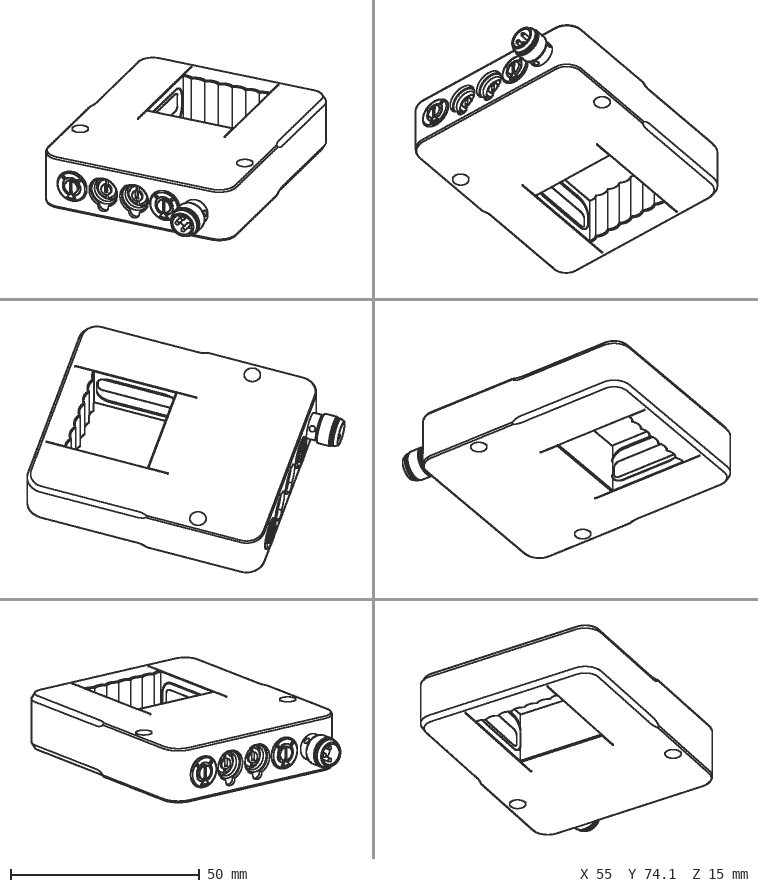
import cadquery as cq
import math

WIDTH = 55.0
LENGTH = 65.6
HEIGHT = 15.0
CORNER_RADIUS = 5.0
FRONT_CHAMFER_SIDE = 0.3
FRONT_CHAMFER_HEIGHT = 0.55
REAR_CHAMFER_SIDE = 0.9
REAR_CHAMFER_HEIGHT = 1.5
REAR_CHAMFER_START = LENGTH - 31.7
RUNOUT_RADIUS = 7.6

WINDOW_WIDTH = 25.1
WINDOW_FRONT = 35.6
WINDOW_BACK = 58.25
WINDOW_EDGE_CHAMFER = 0.3
SCALLOP_PITCH = 3.96
SCALLOP_DEPTH = 0.7
SCALLOP_RADIUS = ((SCALLOP_PITCH / 2) ** 2 + SCALLOP_DEPTH**2) / (2 * SCALLOP_DEPTH)
SCALLOPS_EACH_SIDE = 3
SELECTION_MARGIN = 0.05

PLATE_THICKNESS = 0.2
PLATE_BEVEL = 0.15
PLATE_FRONT = 29.9
PLATE_BACK = 63.6

RECESS_CENTER_Y = 46.4
RECESS_LENGTH = 22.4
RECESS_HEIGHT = 10.7
RECESS_CORNER_RADIUS = 3.9
RECESS_FLOOR_HEIGHT = 5.1
RECESS_FLOOR_RADIUS = 1.5
RECESS_TAPER_DEPTH = 1.3
RECESS_SLOT_DEPTH = 0.1

MOUNT_HOLE_DIAMETER = 4.3
MOUNT_HOLE_SPACING = 48.0
MOUNT_HOLE_Y = 18.0

STATION_PITCH = 9.0
SELECTOR_STATIONS = (-2, 1)
TRIMMER_STATIONS = (-1, 0)
CONNECTOR_STATION = 2

SELECTOR_RADIUS = 4.3
SELECTOR_FACE_RADIUS = 3.95
SELECTOR_THICKNESS = 0.5
SELECTOR_GROOVE_RADIUS = 2.6
SELECTOR_GROOVE_DEPTH = 0.4
SELECTOR_KNOB_RADIUS = 1.9
SELECTOR_KNOB_HEIGHT = 0.8
SELECTOR_SLOT_WIDTH = 0.6
SELECTOR_SLOT_LENGTH = 3.0
SELECTOR_SLOT_DEPTH = 0.6
POINTER_WIDTH = 2.6
POINTER_TIP = 1.7
POINTER_BASE = 3.3
INDEX_WIDTH = 0.6
INDEX_DEPTH = 0.2
INDEX_START = 2.3
INDEX_END = 3.7
INDEX_ANGLES = (45, 135)

TRIMMER_MOUTH_RADIUS = 4.1
TRIMMER_MOUTH_DEPTH = 1.0
TRIMMER_THROAT_RADIUS = 3.75
TRIMMER_THROAT_DEPTH = 1.6
TRIMMER_BORE_RADIUS = 3.25
TRIMMER_BORE_DEPTH = 3.0
TRIMMER_RING_RADIUS = 2.6
TRIMMER_RING_HEIGHT = 0.6
TRIMMER_KNOB_RADIUS = 1.45
TRIMMER_KNOB_HEIGHT = 1.2
TRIMMER_SLOT_WIDTH = 0.8
TRIMMER_SLOT_END = -0.7
TRIMMER_NOTCH_RADIUS = 1.5
TRIMMER_NOTCH_Z = -4.05

NECK_RADIUS = 3.55
NECK_END = 2.5
GROOVE_RADIUS = 3.3
COLLAR_RADIUS = 4.05
COLLAR_START = 2.85
COLLAR_END = 6.6
COLLAR_CHAMFER = 0.25
LIP_RADIUS = 3.8
LIP_START = 7.1
LIP_END = 7.5
TIP_RADIUS = 3.3
CONNECTOR_LENGTH = 8.5
SOCKET_RADIUS = 2.8
SOCKET_DEPTH = 4.0
PIN_RADIUS = 0.5
PIN_LENGTH = 3.6
PIN_CIRCLE_RADIUS = 1.7
PIN_ANGLES = (90, 180, 270)
DIMPLE_DIAMETER = 1.6
DIMPLE_DEPTH = 0.15
DIMPLE_Y = 1.3
DIMPLE_ANGLES = (15, 135, 255)


def front_plane(x, y):
    """Plane facing out of the front face (-Y), with its own Y axis along +Z."""
    return cq.Workplane(cq.Plane(origin=(x, y, 0), xDir=(1, 0, 0), normal=(0, -1, 0)))


def chamfered_block(side, height):
    """Rounded block whose top and bottom rims are chamfered."""
    block = cq.Workplane("XY").box(WIDTH, LENGTH, HEIGHT).translate((0, LENGTH / 2, 0))
    block = block.edges("|Z").fillet(CORNER_RADIUS)
    return block.faces("<Z or >Z").edges().chamfer(height, side)


def runout_cutter(x_sign, z_sign):
    """Cylinder tangent to a rear chamfer, which fades that chamfer out toward the front."""
    chamfer_slant = math.hypot(REAR_CHAMFER_SIDE, REAR_CHAMFER_HEIGHT)
    outward_x = x_sign * REAR_CHAMFER_HEIGHT / chamfer_slant
    outward_z = z_sign * REAR_CHAMFER_SIDE / chamfer_slant
    axis_x = x_sign * (WIDTH - REAR_CHAMFER_SIDE) / 2 + RUNOUT_RADIUS * outward_x
    axis_z = z_sign * (HEIGHT - REAR_CHAMFER_HEIGHT) / 2 + RUNOUT_RADIUS * outward_z
    plane = cq.Plane(
        origin=(axis_x, REAR_CHAMFER_START, axis_z), xDir=(0, 1, 0), normal=(-outward_z, 0, outward_x)
    )
    return cq.Workplane(plane).circle(RUNOUT_RADIUS).extrude(HEIGHT / 2, both=True)


def housing_shell():
    """Block with a wide rim chamfer at the rear that fades into a fine one at the front."""
    front_half = cq.Workplane("XY").box(2 * WIDTH, REAR_CHAMFER_START, 2 * HEIGHT)
    front_half = front_half.translate((0, REAR_CHAMFER_START / 2, 0))
    front = chamfered_block(FRONT_CHAMFER_SIDE, FRONT_CHAMFER_HEIGHT).intersect(front_half)
    for x_sign in (-1, 1):
        for z_sign in (-1, 1):
            front = front.cut(runout_cutter(x_sign, z_sign))
    rear = chamfered_block(REAR_CHAMFER_SIDE, REAR_CHAMFER_HEIGHT).cut(front_half)
    return front.union(rear)


def window_outline():
    """Closed window outline: straight front and sides, and a scalloped back edge."""
    half_width = WINDOW_WIDTH / 2
    last_center = SCALLOPS_EACH_SIDE * SCALLOP_PITCH
    end_drop = SCALLOP_RADIUS - math.sqrt(SCALLOP_RADIUS**2 - (half_width - last_center) ** 2)
    end_y = WINDOW_BACK - end_drop
    cusp_y = WINDOW_BACK - SCALLOP_DEPTH
    outline = cq.Workplane("XY").moveTo(-half_width, WINDOW_FRONT).lineTo(-half_width, end_y)
    for index in range(-SCALLOPS_EACH_SIDE, SCALLOPS_EACH_SIDE):
        center_x = index * SCALLOP_PITCH
        cusp_x = center_x + SCALLOP_PITCH / 2
        outline = outline.threePointArc((center_x, WINDOW_BACK), (cusp_x, cusp_y))
    outline = outline.threePointArc((last_center, WINDOW_BACK), (half_width, end_y))
    return outline.lineTo(half_width, WINDOW_FRONT).close()


def cut_window(body):
    """Cut the window through and chamfer the rims of its front and back walls."""
    body = body.cut(window_outline().extrude(HEIGHT / 2, both=True))
    half_width = WINDOW_WIDTH / 2 - SELECTION_MARGIN
    rims = cq.selectors.BoxSelector(
        (-half_width, WINDOW_FRONT - SELECTION_MARGIN, -HEIGHT),
        (half_width, WINDOW_BACK + SELECTION_MARGIN, HEIGHT),
    )
    return body.faces("<Z or >Z").edges(rims).chamfer(WINDOW_EDGE_CHAMFER)


def plate_blank(side):
    """Thin full-height plate whose inner face lies on the window side."""
    blank = cq.Workplane("XY").box(PLATE_THICKNESS, PLATE_BACK - PLATE_FRONT, HEIGHT)
    return blank.translate(
        (side * (WINDOW_WIDTH + PLATE_THICKNESS) / 2, (PLATE_FRONT + PLATE_BACK) / 2, 0)
    )


def side_plane(side):
    """Plane on a window side, facing outward into the housing wall."""
    origin = (side * WINDOW_WIDTH / 2, RECESS_CENTER_Y, 0)
    return cq.Workplane(cq.Plane(origin=origin, xDir=(0, 1, 0), normal=(side, 0, 0)))


def recess_cutter(side):
    """Slot whose upper and lower flanks taper inward, ending in a straight-walled floor."""
    mouth = cq.Sketch().rect(RECESS_LENGTH, RECESS_HEIGHT).vertices().fillet(RECESS_CORNER_RADIUS)
    floor = cq.Sketch().rect(RECESS_LENGTH, RECESS_FLOOR_HEIGHT).vertices().fillet(RECESS_FLOOR_RADIUS)
    taper_end = cq.Location(cq.Vector(0, 0, RECESS_TAPER_DEPTH))
    funnel = side_plane(side).placeSketch(mouth, floor.moved(taper_end)).loft()
    slot = side_plane(side).placeSketch(floor).extrude(RECESS_TAPER_DEPTH + RECESS_SLOT_DEPTH)
    return funnel.union(slot)


def mount_hole_cutter():
    holes = cq.Workplane("XY").pushPoints([(s * MOUNT_HOLE_SPACING / 2, MOUNT_HOLE_Y) for s in (-1, 1)])
    return holes.circle(MOUNT_HOLE_DIAMETER / 2).extrude(HEIGHT / 2, both=True)


def selector(x):
    """Bevelled disc with two index grooves, a ring groove around a slotted knob and a raised pointer."""
    bevel = SELECTOR_RADIUS - SELECTOR_FACE_RADIUS
    disc = front_plane(x, 0).circle(SELECTOR_RADIUS).extrude(SELECTOR_THICKNESS)
    disc = disc.faces("<Y").edges().chamfer(bevel)
    groove = front_plane(x, -SELECTOR_THICKNESS).circle(SELECTOR_GROOVE_RADIUS)
    disc = disc.cut(groove.extrude(-SELECTOR_GROOVE_DEPTH))
    index_length = INDEX_END - INDEX_START
    index_middle = (INDEX_START + INDEX_END) / 2
    for angle in INDEX_ANGLES:
        spoke = front_plane(x, -SELECTOR_THICKNESS).transformed(rotate=(0, 0, angle))
        spoke = spoke.center(index_middle, 0).rect(index_length, INDEX_WIDTH)
        disc = disc.cut(spoke.extrude(-INDEX_DEPTH))
    disc = disc.union(front_plane(x, 0).circle(SELECTOR_KNOB_RADIUS).extrude(SELECTOR_KNOB_HEIGHT))
    pointer = (
        front_plane(x, 0)
        .moveTo(0, -POINTER_TIP)
        .lineTo(POINTER_WIDTH / 2, -POINTER_BASE)
        .lineTo(-POINTER_WIDTH / 2, -POINTER_BASE)
        .close()
        .extrude(SELECTOR_KNOB_HEIGHT)
    )
    slot = front_plane(x, -SELECTOR_KNOB_HEIGHT).rect(SELECTOR_SLOT_WIDTH, SELECTOR_SLOT_LENGTH)
    return disc.union(pointer).cut(slot.extrude(-SELECTOR_SLOT_DEPTH))


def trimmer_pocket(x):
    """Round pocket with a tapered throat and a side notch; a ring and a slotted knob stand on its floor."""
    mouth = front_plane(x, 0).circle(TRIMMER_MOUTH_RADIUS).extrude(-TRIMMER_MOUTH_DEPTH)
    throat = cq.Solid.makeCone(
        TRIMMER_THROAT_RADIUS,
        TRIMMER_BORE_RADIUS,
        TRIMMER_THROAT_DEPTH - TRIMMER_MOUTH_DEPTH,
        pnt=cq.Vector(x, TRIMMER_MOUTH_DEPTH, 0),
        dir=cq.Vector(0, 1, 0),
    )
    bore = front_plane(x, 0).circle(TRIMMER_BORE_RADIUS).extrude(-TRIMMER_BORE_DEPTH)
    notch = front_plane(x, 0).center(0, TRIMMER_NOTCH_Z).circle(TRIMMER_NOTCH_RADIUS)
    pocket = mouth.union(cq.Workplane(obj=throat)).union(bore)
    pocket = pocket.union(notch.extrude(-TRIMMER_MOUTH_DEPTH))
    floor = front_plane(x, TRIMMER_BORE_DEPTH)
    ring = floor.circle(TRIMMER_RING_RADIUS).extrude(TRIMMER_RING_HEIGHT)
    ring_slot = floor.rect(TRIMMER_SLOT_WIDTH, 2 * TRIMMER_RING_RADIUS).extrude(TRIMMER_RING_HEIGHT)
    knob = floor.circle(TRIMMER_KNOB_RADIUS).extrude(TRIMMER_KNOB_HEIGHT)
    slot_length = TRIMMER_KNOB_RADIUS - TRIMMER_SLOT_END
    knob_slot = floor.center(0, TRIMMER_SLOT_END + slot_length / 2).rect(TRIMMER_SLOT_WIDTH, slot_length)
    knob = knob.cut(knob_slot.extrude(TRIMMER_KNOB_HEIGHT))
    return pocket.cut(ring.cut(ring_slot)).cut(knob)


def connector(x):
    """Round plug turned from one profile, with dimples in its neck and pins in its socket."""
    profile = [
        (0, 0),
        (NECK_RADIUS, 0),
        (NECK_RADIUS, NECK_END),
        (GROOVE_RADIUS, NECK_END),
        (GROOVE_RADIUS, COLLAR_START),
        (COLLAR_RADIUS - COLLAR_CHAMFER, COLLAR_START),
        (COLLAR_RADIUS, COLLAR_START + COLLAR_CHAMFER),
        (COLLAR_RADIUS, COLLAR_END - COLLAR_CHAMFER),
        (COLLAR_RADIUS - COLLAR_CHAMFER, COLLAR_END),
        (GROOVE_RADIUS, COLLAR_END),
        (GROOVE_RADIUS, LIP_START),
        (LIP_RADIUS, LIP_START),
        (LIP_RADIUS, LIP_END),
        (TIP_RADIUS, CONNECTOR_LENGTH),
        (0, CONNECTOR_LENGTH),
    ]
    turning_plane = cq.Plane(origin=(x, 0, 0), xDir=(1, 0, 0), normal=(0, 0, -1))
    plug = cq.Workplane(turning_plane).polyline(profile).close().revolve(360, (0, 0), (0, 1))
    socket = front_plane(x, -CONNECTOR_LENGTH).circle(SOCKET_RADIUS).extrude(-SOCKET_DEPTH)
    plug = plug.cut(socket)
    pins = front_plane(x, SOCKET_DEPTH - CONNECTOR_LENGTH)
    for angle in PIN_ANGLES:
        turn = math.radians(angle)
        place = (PIN_CIRCLE_RADIUS * math.cos(turn), PIN_CIRCLE_RADIUS * math.sin(turn))
        plug = plug.union(pins.moveTo(*place).circle(PIN_RADIUS).extrude(PIN_LENGTH))
    for angle in DIMPLE_ANGLES:
        turn = math.radians(angle)
        outward = cq.Vector(math.cos(turn), 0, math.sin(turn))
        floor = cq.Vector(x, -DIMPLE_Y, 0) + outward * (NECK_RADIUS - DIMPLE_DEPTH)
        dimple = cq.Workplane(cq.Plane(origin=floor, xDir=(0, 1, 0), normal=outward))
        plug = plug.cut(dimple.circle(DIMPLE_DIAMETER / 2).extrude(2 * DIMPLE_DEPTH))
    return plug


def make_housing():
    body = cut_window(housing_shell()).cut(mount_hole_cutter())
    for side in (-1, 1):
        body = body.cut(plate_blank(side)).cut(recess_cutter(side))
    for station in TRIMMER_STATIONS:
        body = body.cut(trimmer_pocket(station * STATION_PITCH))
    for station in SELECTOR_STATIONS:
        body = body.union(selector(station * STATION_PITCH))
    return body.union(connector(CONNECTOR_STATION * STATION_PITCH))


def plate_bevel(side):
    """Wedge that bevels the top edge of a plate along the window."""
    inner = side * WINDOW_WIDTH / 2
    wedge = cq.Workplane("XZ", origin=(0, WINDOW_FRONT, 0)).moveTo(inner, HEIGHT / 2)
    wedge = wedge.lineTo(inner + side * PLATE_BEVEL, HEIGHT / 2).lineTo(inner, HEIGHT / 2 - PLATE_BEVEL)
    return wedge.close().extrude(WINDOW_FRONT - WINDOW_BACK)


def make_plate(side):
    """Cover plate, bevelled along the window, with an opening for the mouth of the recess."""
    bevel = plate_bevel(side)
    return plate_blank(side).cut(recess_cutter(side)).cut(bevel).cut(bevel.mirror("XY"))


housing = make_housing()
plates = [make_plate(side) for side in (-1, 1)]
result = cq.Compound.makeCompound([housing.val(), *[plate.val() for plate in plates]])